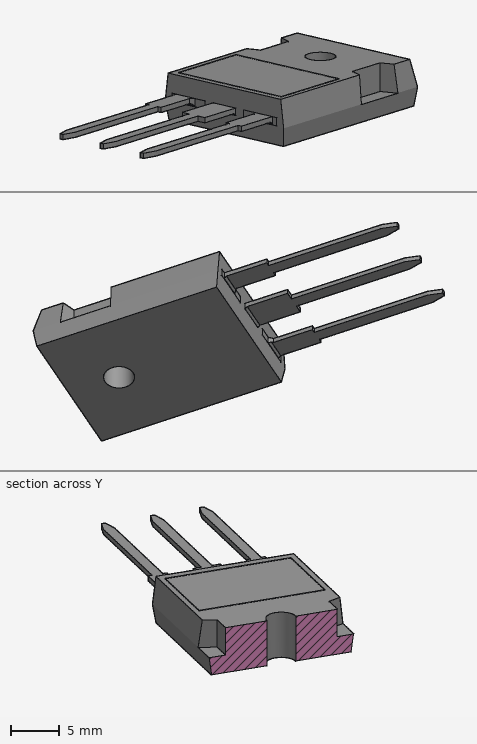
import cadquery as cq


OVERALL_LENGTH = 40.0

HOUSING_WIDTH = 16.05
HOUSING_LENGTH = 20.9
HOUSING_HEIGHT = 5.05
PARTING_HEIGHT = 2.0
LOWER_DRAFT = 0.3
UPPER_SIDE_DRAFT = 0.4
UPPER_BACK_DRAFT = 0.75

HOLE_DIAMETER = 3.15
HOLE_Y = HOUSING_LENGTH - 5.9
NOTCH_INNER_X = 6.2
NOTCH_INNER_LENGTH = 4.3
NOTCH_OUTER_LENGTH = 5.7

LABEL_WIDTH = 13.9
LABEL_LENGTH = 9.0
LABEL_FRONT_Y = 0.85
LABEL_THICKNESS = 0.1

LEAD_PITCH = 5.45
LEAD_LENGTH = OVERALL_LENGTH - HOUSING_LENGTH
LEAD_TOP_Z = 3.0
LEAD_THICKNESS = 0.55
SHOULDER_LENGTH = 4.8
OUTER_SHOULDER_WIDTH = 2.1
MIDDLE_SHOULDER_WIDTH = 3.05
PIN_WIDTH = 1.2
TIP_WIDTH = 0.45
TIP_LENGTH = 1.5
FLARE = 0.4

ROOT_THICKNESS = 0.8
ROOT_SLOPE_LENGTH = 0.25

EMBED_DEPTH = 1.0
PLATE_INNER_X = 2.6
PLATE_OUTER_X = 7.1
PLATE_THICKNESS = 0.9


def loft_between(lower, upper):
    """Ruled solid between two rectangles, each given as (half width, front y, back y, z)."""
    wires = []
    for half_width, front_y, back_y, z in (lower, upper):
        corners = [
            (-half_width, front_y, z),
            (half_width, front_y, z),
            (half_width, back_y, z),
            (-half_width, back_y, z),
        ]
        wires.append(cq.Wire.makePolygon([cq.Vector(*corner) for corner in corners], close=True))
    return cq.Workplane(cq.Solid.makeLoft(wires, True))


def make_block():
    """Housing block, tapering down and up from its parting plane; its upper front is upright."""
    half_width = HOUSING_WIDTH / 2
    parting = (half_width, 0, HOUSING_LENGTH, PARTING_HEIGHT)
    bottom = (half_width - LOWER_DRAFT, LOWER_DRAFT, HOUSING_LENGTH - LOWER_DRAFT, 0)
    top = (half_width - UPPER_SIDE_DRAFT, 0, HOUSING_LENGTH - UPPER_BACK_DRAFT, HOUSING_HEIGHT)
    return loft_between(bottom, parting).union(loft_between(parting, top))


def make_notch(side):
    """Cutter for the notch on one side (-1 or 1), open outward and down to the parting plane."""
    outer_x = HOUSING_WIDTH / 2
    return (
        cq.Workplane("XY", origin=(0, HOLE_Y, PARTING_HEIGHT))
        .polyline([
            (side * NOTCH_INNER_X, -NOTCH_INNER_LENGTH / 2),
            (side * outer_x, -NOTCH_OUTER_LENGTH / 2),
            (side * outer_x, NOTCH_OUTER_LENGTH / 2),
            (side * NOTCH_INNER_X, NOTCH_INNER_LENGTH / 2),
        ])
        .close()
        .extrude(HOUSING_HEIGHT - PARTING_HEIGHT)
    )


def make_hole():
    return cq.Workplane("XY", origin=(0, HOLE_Y, 0)).circle(HOLE_DIAMETER / 2).extrude(HOUSING_HEIGHT)


def make_label():
    return (
        cq.Workplane("XY", origin=(0, LABEL_FRONT_Y, HOUSING_HEIGHT - LABEL_THICKNESS))
        .box(LABEL_WIDTH, LABEL_LENGTH, LABEL_THICKNESS, centered=(True, False, False))
    )


def make_lead_blade(shoulder_width, flare_left, flare_right):
    """Lead outside the housing, centred on X = 0, with a flare on either side of its root."""
    half_shoulder = shoulder_width / 2
    half_pin = PIN_WIDTH / 2
    half_tip = TIP_WIDTH / 2
    left_side = [
        (-half_shoulder, -FLARE),
        (-half_shoulder, -SHOULDER_LENGTH),
        (-half_pin, -SHOULDER_LENGTH),
        (-half_pin, TIP_LENGTH - LEAD_LENGTH),
        (-half_tip, -LEAD_LENGTH),
    ]
    right_side = [(-x, y) for x, y in reversed(left_side)]
    root_left = (-half_shoulder - flare_left, 0)
    root_right = (half_shoulder + flare_right, 0)
    outline = (
        cq.Workplane("XY", origin=(0, 0, LEAD_TOP_Z))
        .polyline([root_left, *left_side, *right_side, root_right])
        .close()
        .extrude(-ROOT_THICKNESS)
    )
    thickness_profile = (
        cq.Workplane("YZ", origin=(0, 0, LEAD_TOP_Z))
        .polyline([
            (0, 0),
            (0, -ROOT_THICKNESS),
            (-ROOT_SLOPE_LENGTH, -LEAD_THICKNESS),
            (-LEAD_LENGTH, -LEAD_THICKNESS),
            (-LEAD_LENGTH, 0),
        ])
        .close()
        .extrude(shoulder_width, both=True)
    )
    return outline.intersect(thickness_profile)


def make_embedded_plate(left_x, right_x, thickness):
    """Part of a lead inside the housing, flush with the housing front and the lead top."""
    return (
        cq.Workplane("XY", origin=(left_x, 0, LEAD_TOP_Z - thickness))
        .box(right_x - left_x, EMBED_DEPTH, thickness, centered=False)
    )


def make_middle_lead():
    half_width = MIDDLE_SHOULDER_WIDTH / 2
    blade = make_lead_blade(MIDDLE_SHOULDER_WIDTH, 0, 0)
    return blade.union(make_embedded_plate(-half_width, half_width, ROOT_THICKNESS))


def make_left_lead():
    """Lead on the -X side, flared toward the middle and held by a wide plate."""
    blade = make_lead_blade(OUTER_SHOULDER_WIDTH, 0, FLARE).translate((-LEAD_PITCH, 0, 0))
    return blade.union(make_embedded_plate(-PLATE_OUTER_X, -PLATE_INNER_X, PLATE_THICKNESS))


left_lead = make_left_lead()
right_lead = left_lead.mirror("YZ")
leads = [left_lead, make_middle_lead(), right_lead]
label = make_label()

housing = make_block().cut(make_hole())
for side in (-1, 1):
    housing = housing.cut(make_notch(side))
for embedded_body in [label, *leads]:
    housing = housing.cut(embedded_body)

result = cq.Compound.makeCompound([housing.val(), label.val(), *[lead.val() for lead in leads]])